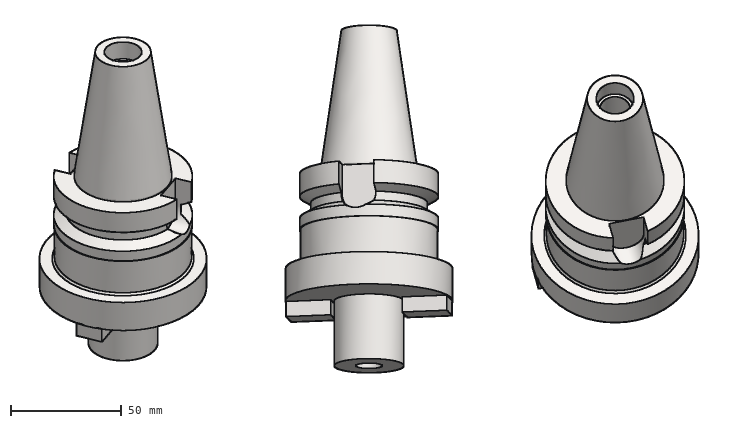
import cadquery as cq
import math

GAUGE_DIAMETER = 44.45
TAPER_LENGTH = 65.4
TAPER_PER_LENGTH = 7 / 24
TAPER_END_DIAMETER = GAUGE_DIAMETER - TAPER_LENGTH * TAPER_PER_LENGTH

FLANGE_DIAMETER = 63.05
FLANGE_TOP_Z = -1.0
FLANGE_BOTTOM_Z = -27.0
GROOVE_DIAMETER = 53.0
GROOVE_CENTRE_Z = -16.6
GROOVE_WIDTH = 10.0
GROOVE_WALL_ANGLE = 30.0
GROOVE_DEPTH = (FLANGE_DIAMETER - GROOVE_DIAMETER) / 2
GROOVE_WALL_HEIGHT = GROOVE_DEPTH * math.tan(math.radians(GROOVE_WALL_ANGLE))

BODY_DIAMETER = 62.4
SHOULDER_DIAMETER = 76.0
SHOULDER_FACE_Z = -60.0
SHOULDER_THICKNESS = 15.0
SHOULDER_TOP_Z = SHOULDER_FACE_Z + SHOULDER_THICKNESS
BODY_FLARE = 1.0
PILOT_DIAMETER = 31.75
PILOT_LENGTH = 30.0
PILOT_END_Z = SHOULDER_FACE_Z - PILOT_LENGTH

MOUTH_DIAMETER = 17.0
MOUTH_DEPTH = 9.0
THREAD_DIAMETER = 14.0
THREAD_DEPTH = 32.0
THROUGH_DIAMETER = 12.0

SLOT_WIDTH = 16.1
SLOT_FLOOR_X = 22.5
SLOT_END_Z = -23.0

KEY_WIDTH = 12.7
KEY_HEIGHT = 7.0
KEY_INNER_Y = 16.5
KEY_OUTER_Y = 37.2


def make_body():
    """Revolve the outer profile about the Z axis."""
    gauge_r = GAUGE_DIAMETER / 2
    flange_r = FLANGE_DIAMETER / 2
    groove_r = GROOVE_DIAMETER / 2
    body_r = BODY_DIAMETER / 2
    shoulder_r = SHOULDER_DIAMETER / 2
    pilot_r = PILOT_DIAMETER / 2
    groove_top = GROOVE_CENTRE_Z + GROOVE_WIDTH / 2
    groove_bottom = GROOVE_CENTRE_Z - GROOVE_WIDTH / 2
    profile = [
        (0, TAPER_LENGTH),
        (TAPER_END_DIAMETER / 2, TAPER_LENGTH),
        (gauge_r, 0),
        (gauge_r, FLANGE_TOP_Z),
        (flange_r, FLANGE_TOP_Z),
        (flange_r, groove_top),
        (groove_r, groove_top - GROOVE_WALL_HEIGHT),
        (groove_r, groove_bottom + GROOVE_WALL_HEIGHT),
        (flange_r, groove_bottom),
        (flange_r, FLANGE_BOTTOM_Z),
        (body_r, FLANGE_BOTTOM_Z),
        (body_r, SHOULDER_TOP_Z + BODY_FLARE),
        (body_r + BODY_FLARE, SHOULDER_TOP_Z),
        (shoulder_r, SHOULDER_TOP_Z),
        (shoulder_r, SHOULDER_FACE_Z),
        (pilot_r, SHOULDER_FACE_Z),
        (pilot_r, PILOT_END_Z),
        (0, PILOT_END_Z),
    ]
    return cq.Workplane("YZ").polyline(profile).close().revolve(360, (0, 0), (0, 1))


def bore_from_top(diameter, depth):
    """Cylinder on the axis running down from the small end of the taper."""
    return cq.Workplane("XY").workplane(offset=TAPER_LENGTH).circle(diameter / 2).extrude(-depth)


def make_bore():
    """Plain mouth, threaded length at its minor diameter, then a through hole."""
    mouth = bore_from_top(MOUTH_DIAMETER, MOUTH_DEPTH)
    thread = bore_from_top(THREAD_DIAMETER, THREAD_DEPTH)
    through = bore_from_top(THROUGH_DIAMETER, TAPER_LENGTH - PILOT_END_Z)
    return mouth.union(thread).union(through)


def make_slot(side):
    """Round-ended slot, open at the flange top, cut into the flange to a flat floor."""
    half_width = SLOT_WIDTH / 2
    straight_end_z = SLOT_END_Z + half_width
    return (
        cq.Workplane("YZ")
        .workplane(offset=side * SLOT_FLOOR_X)
        .moveTo(-half_width, FLANGE_TOP_Z)
        .lineTo(-half_width, straight_end_z)
        .threePointArc((0, SLOT_END_Z), (half_width, straight_end_z))
        .lineTo(half_width, FLANGE_TOP_Z)
        .close()
        .extrude(side * FLANGE_DIAMETER / 2)
    )


def make_key(side):
    """Rectangular driving key standing on the shoulder face."""
    key_centre_y = side * (KEY_INNER_Y + KEY_OUTER_Y) / 2
    return (
        cq.Workplane("XY")
        .workplane(offset=SHOULDER_FACE_Z)
        .center(0, key_centre_y)
        .rect(KEY_WIDTH, KEY_OUTER_Y - KEY_INNER_Y)
        .extrude(-KEY_HEIGHT)
    )


result = make_body().cut(make_bore())
for side in (-1, 1):
    result = result.cut(make_slot(side)).union(make_key(side))